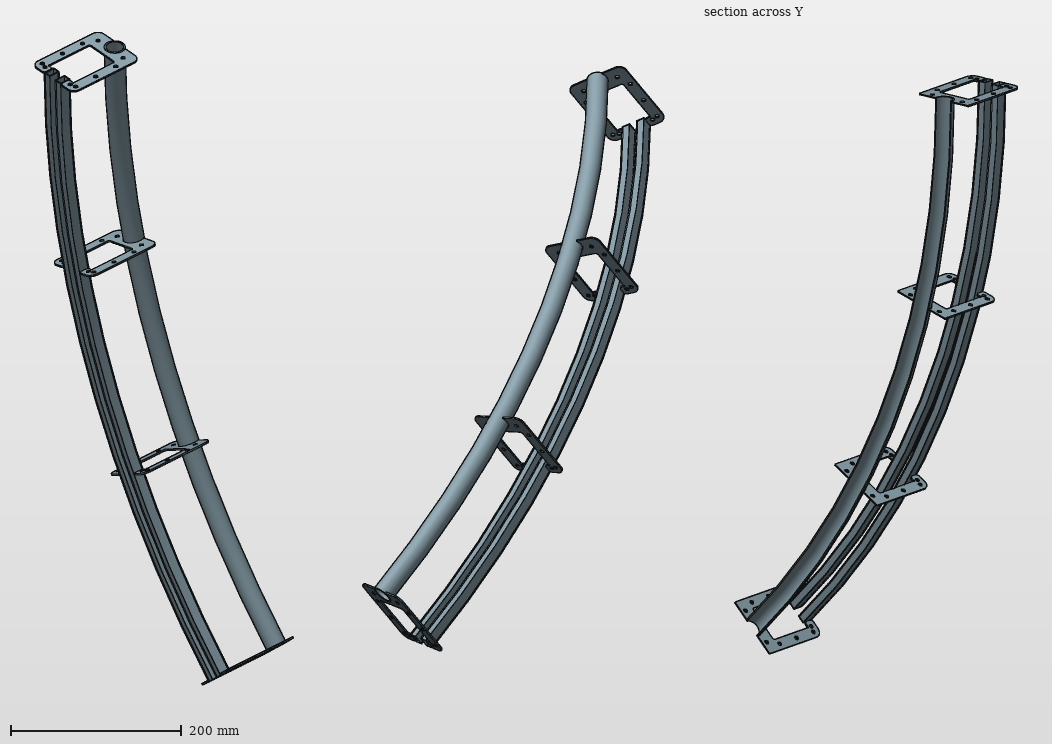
import cadquery as cq
import math


OVERALL_HEIGHT = 733.5
BEND_ANGLE = 45.0

TUBE_DIAMETER = 25.0
TUBE_WALL = 2.0
TUBE_PROTRUSION = 5.0

RAIL_WIDTH = 10.0
RAIL_DEPTH = 15.0
RAIL_WALL = 1.0
RAIL_GAP = 9.5

BRACKET_COUNT = 4
BRACKET_WIDTH = 75.0
BRACKET_DEPTH = 103.5
BRACKET_THICKNESS = 2.0
LEG_WIDTH = 15.0
CROSSBAR_DEPTH = 26.5
FOOT_DEPTH = 13.0
CORNER_RADIUS = 9.5
INNER_RADIUS = 3.0
FOOT_RADIUS = 4.0

HOLE_DIAMETER = 5.0
LEG_HOLE_COUNT = 3
LEG_HOLE_START = 10.0
LEG_HOLE_PITCH = 31.0
FOOT_HOLE_HEIGHT = 8.0
CROSSBAR_HOLE_HEIGHT = 89.5

BEND_RADIUS = OVERALL_HEIGHT / math.sin(math.radians(BEND_ANGLE)) - BRACKET_WIDTH / 2
BACK_Y = TUBE_DIAMETER / 2 - TUBE_PROTRUSION
FRONT_Y = BACK_Y - BRACKET_DEPTH
RAIL_BACK_Y = FRONT_Y + RAIL_DEPTH
RAIL_PAIR_WIDTH = 2 * RAIL_WIDTH + RAIL_GAP
SIDES = (-1, 1)


def follow_bend(section, offset=0.0):
    """Revolve a section, drawn around X = offset, through the whole bend."""
    axis_x = BEND_RADIUS - offset
    return section.revolve(BEND_ANGLE, (axis_x, 7, 0), (axis_x, 0, 0))


def make_tube():
    outer_radius = TUBE_DIAMETER / 2
    section = cq.Workplane("XY").circle(outer_radius).circle(outer_radius - TUBE_WALL)
    return follow_bend(section)


def make_rail(offset):
    """One hollow rail whose centreline starts at X = offset."""
    section = (
        cq.Workplane("XY")
        .center(offset, (FRONT_Y + RAIL_BACK_Y) / 2)
        .rect(RAIL_WIDTH, RAIL_DEPTH)
        .rect(RAIL_WIDTH - 2 * RAIL_WALL, RAIL_DEPTH - 2 * RAIL_WALL)
    )
    return follow_bend(section, offset)


def plate_block(width, front, back):
    """A rectangle of bracket thickness, centred on X = 0, with its top at Z = 0."""
    return (
        cq.Workplane("XY")
        .center(0, (front + back) / 2)
        .rect(width, back - front)
        .extrude(-BRACKET_THICKNESS)
    )


def make_screw_holes():
    leg_x = (BRACKET_WIDTH - LEG_WIDTH) / 2
    inner_x = BRACKET_WIDTH / 2 - LEG_WIDTH
    points = []
    for side in SIDES:
        for row in range(LEG_HOLE_COUNT):
            points.append((side * leg_x, FRONT_Y + LEG_HOLE_START + row * LEG_HOLE_PITCH))
        for height in (FOOT_HOLE_HEIGHT, CROSSBAR_HOLE_HEIGHT):
            points.append((side * inner_x, FRONT_Y + height))
    return cq.Workplane("XY").pushPoints(points).circle(HOLE_DIAMETER / 2).extrude(-BRACKET_THICKNESS)


def make_bracket():
    """A flat bracket at the start of the bend, with its top at Z = 0."""
    foot_back_y = FRONT_Y + FOOT_DEPTH
    plate = plate_block(BRACKET_WIDTH, FRONT_Y, BACK_Y).edges("|Z").fillet(CORNER_RADIUS)

    opening_width = BRACKET_WIDTH - 2 * LEG_WIDTH
    opening = plate_block(opening_width, foot_back_y, BACK_Y - CROSSBAR_DEPTH)
    opening = opening.edges("|Z and >Y").fillet(INNER_RADIUS)
    rail_slot = plate_block(RAIL_PAIR_WIDTH, FRONT_Y, RAIL_BACK_Y)
    plate = plate.cut(opening).cut(rail_slot)

    margin = RAIL_WIDTH / 4
    foot_tips = cq.selectors.BoxSelector(
        (-RAIL_PAIR_WIDTH / 2 - margin, FRONT_Y - margin, -BRACKET_THICKNESS),
        (RAIL_PAIR_WIDTH / 2 + margin, foot_back_y + margin, BRACKET_THICKNESS),
    )
    plate = plate.edges("|Z").edges(foot_tips).fillet(FOOT_RADIUS)

    tube_hole = cq.Workplane("XY").circle(TUBE_DIAMETER / 2).extrude(-BRACKET_THICKNESS)
    return plate.cut(tube_hole).cut(make_screw_holes())


def place_bracket(index):
    """Swing a bracket to its evenly spaced place; the two end ones lie flush with the ends."""
    fraction = index / (BRACKET_COUNT - 1)
    bracket = make_bracket().translate((0, 0, fraction * BRACKET_THICKNESS))
    return bracket.rotate((BEND_RADIUS, 0, 0), (BEND_RADIUS, 1, 0), -fraction * BEND_ANGLE)


tube = make_tube()

rail_offset = (RAIL_WIDTH + RAIL_GAP) / 2
rails = [make_rail(side * rail_offset) for side in SIDES]

brackets = [place_bracket(index) for index in range(BRACKET_COUNT)]

result = cq.Compound.makeCompound([body.val() for body in [tube, *rails, *brackets]])